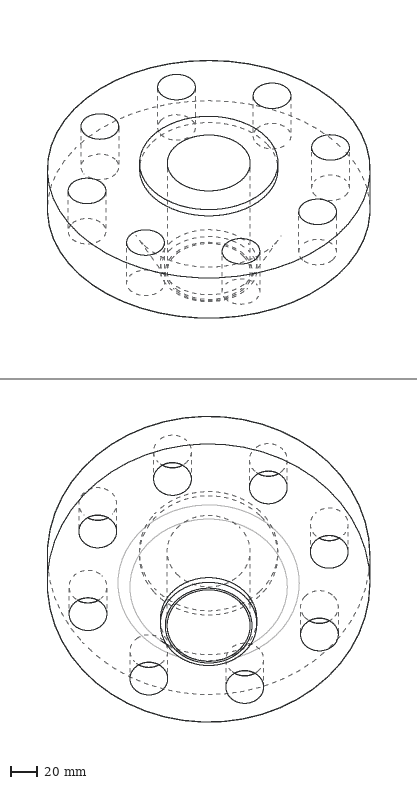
import cadquery as cq
import math

total_height = 111.2
raised_face_height = 6.4
flange_thickness = 41.3
weld_end_height = 9.5

flange_diameter = 244.5
raised_face_diameter = 104.9
bore_diameter = 62.8
neck_base_diameter = 124.7
weld_end_diameter = 73.0

neck_fillet_radius = 10.0
weld_bevel_height = 2.5
weld_bevel_width = 3.7

bolt_count = 8
bolt_circle_diameter = 190.7
bolt_hole_diameter = 28.5

flange_radius = flange_diameter / 2
raised_face_radius = raised_face_diameter / 2
neck_base_radius = neck_base_diameter / 2
weld_end_radius = weld_end_diameter / 2

flange_top = -raised_face_height
flange_bottom = flange_top - flange_thickness
neck_bottom = -total_height
weld_end_top = neck_bottom + weld_end_height


def neck_fillet_points():
    """Start, middle and end of the arc joining the cone to the flange underside."""
    cone_angle = math.atan2(weld_end_top - flange_bottom, weld_end_radius - neck_base_radius)
    corner_angle = -cone_angle
    tangent_length = neck_fillet_radius / math.tan(corner_angle / 2)
    center_r = neck_base_radius + tangent_length
    center_z = flange_bottom - neck_fillet_radius
    middle_angle = math.pi / 2 + (math.pi - corner_angle) / 2
    start = (center_r, flange_bottom)
    middle = (
        center_r + neck_fillet_radius * math.cos(middle_angle),
        center_z + neck_fillet_radius * math.sin(middle_angle),
    )
    end = (
        neck_base_radius + tangent_length * math.cos(cone_angle),
        flange_bottom + tangent_length * math.sin(cone_angle),
    )
    return start, middle, end


def make_body():
    """Solid of revolution: raised face, flange, tapered neck and bevelled weld end."""
    fillet_start, fillet_middle, fillet_end = neck_fillet_points()
    return (
        cq.Workplane("XZ")
        .moveTo(0, 0)
        .lineTo(raised_face_radius, 0)
        .lineTo(raised_face_radius, flange_top)
        .lineTo(flange_radius, flange_top)
        .lineTo(flange_radius, flange_bottom)
        .lineTo(*fillet_start)
        .threePointArc(fillet_middle, fillet_end)
        .lineTo(weld_end_radius, weld_end_top)
        .lineTo(weld_end_radius, neck_bottom + weld_bevel_height)
        .lineTo(weld_end_radius - weld_bevel_width, neck_bottom)
        .lineTo(0, neck_bottom)
        .close()
        .revolve(360, (0, 0), (0, 1))
    )


def make_bore():
    """Cutter for the straight bore through the full height."""
    return cq.Workplane("XY").circle(bore_diameter / 2).extrude(-total_height)


def make_bolt_holes():
    """Cutters for the bolt holes, with the first hole on the X axis."""
    return (
        cq.Workplane("XY", origin=(0, 0, flange_top))
        .polarArray(bolt_circle_diameter / 2, 0, 360, bolt_count)
        .circle(bolt_hole_diameter / 2)
        .extrude(-flange_thickness)
    )


result = make_body().cut(make_bore()).cut(make_bolt_holes())